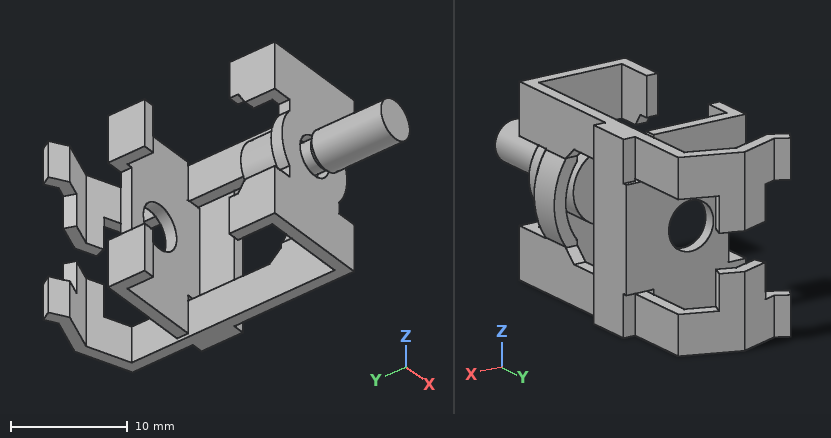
import cadquery as cq
import math

sheet = 1.2
half_height = 9.0

half_width = 5.5
flange_end_y = 4.95
peak_y = 26.1
roof_angle = math.radians(20)
valley_x = -4.1
tail_angle = math.radians(30)
tail_tip_x = -5.33

window_half = 5.2
notch_half = 4.05
window_start_y = 8.3
bridge_near_y = 4.0
bridge_far_y = 7.05
flange_step_y = 4.0
flange_taper_y = 3.25
bridge_center_x = -0.5
bridge_radius = half_width - bridge_center_x
neck_half_width = 3.45
lobe_radius = 4.5
screw_hole_radius = 2.0

jaw_half_gap = 1.83
jaw_right_x = 2.1
jaw_left_x = -2.9

bracket_left_x = -5.7
bracket_far_y = 18.0
hook_end_y = 14.0
strap_end_y = 13.04
strap_far_y = 17.55
strap_x = half_width + sheet
plate_right_x = 3.9
tongue_half = 5.0
plate_left_x = -3.9
plate_hole_radius = 2.3

head_radius = 3.5
head_end_y = 5.27
neck_radius = 1.5
shank_radius = 2.0
cone_start_y = -0.75
cone_end_y = cone_start_y - (shank_radius - neck_radius)
shank_end_y = -8.79


def block(x_range, y_range, z_range):
    """Axis-aligned box between the given limits."""
    sizes = [high - low for low, high in (x_range, y_range, z_range)]
    corner = (x_range[0], y_range[0], z_range[0])
    return cq.Workplane("XY").box(*sizes, centered=False).translate(corner)


def bent_strip(outer, z_range, side=1):
    """Sheet of constant thickness along a line of outer corners; side 1 is left of travel, -1 right."""
    headings = [math.atan2(b[1] - a[1], b[0] - a[0]) for a, b in zip(outer, outer[1:])]
    incoming = headings[:1] + headings
    outgoing = headings + headings[-1:]
    inner = []
    for (x, y), before, after in zip(outer, incoming, outgoing):
        turn = math.remainder(after - before, 2 * math.pi)
        normal = before + turn / 2 + side * math.pi / 2
        miter = sheet / math.cos(turn / 2)
        inner.append((x + miter * math.cos(normal), y + miter * math.sin(normal)))
    profile = cq.Workplane("XY").workplane(offset=z_range[0]).polyline(outer + inner[::-1]).close()
    return profile.extrude(z_range[1] - z_range[0])


def cylinder_along_y(radius, y_start, y_end, center_x=0):
    return cq.Workplane("XZ", origin=(center_x, y_start, 0)).circle(radius).extrude(y_start - y_end)


def side_cutter(upper_outline, x_range):
    """Prism along X over (Y, Z) points of the upper edge, mirrored to the lower half."""
    lower_outline = [(y, -z) for y, z in reversed(upper_outline)]
    profile = cq.Workplane("YZ", origin=(x_range[0], 0, 0)).polyline(upper_outline + lower_outline).close()
    return profile.extrude(x_range[1] - x_range[0])


def roof_point(x):
    """Outer roof corner at the given X."""
    return (x, peak_y - abs(x) * math.tan(roof_angle))


def make_clip():
    valley = roof_point(valley_x)
    tail_tip = (tail_tip_x, valley[1] + (valley_x - tail_tip_x) * math.tan(tail_angle))
    outer = [
        (-half_width, flange_end_y),
        (-half_width, 0),
        (half_width, 0),
        roof_point(half_width),
        roof_point(0),
        valley,
        tail_tip,
    ]
    clip = bent_strip(outer, (-half_height, half_height))

    window = [
        (bridge_far_y, notch_half),
        (window_start_y, window_half),
        (peak_y, window_half),
    ]
    clip = clip.cut(side_cutter(window, (-half_width - sheet, half_width)))

    flange_notch = [
        (0, notch_half),
        (flange_taper_y, notch_half),
        (flange_step_y, window_half),
        (flange_end_y, window_half),
    ]
    clip = clip.cut(side_cutter(flange_notch, (-half_width, -neck_half_width)))

    wall_notch = block((neck_half_width, half_width), (0, bridge_near_y), (-notch_half, notch_half))
    clip = clip.cut(wall_notch)
    clip = clip.union(cylinder_along_y(lobe_radius, 0, sheet))
    return clip.cut(cylinder_along_y(screw_hole_radius, 0, sheet))


def add_bridge(clip):
    """Bulge the bridge of the side wall outward around the screw head."""
    inner_cylinder = cylinder_along_y(bridge_radius, bridge_near_y, bridge_far_y, bridge_center_x)
    outer_cylinder = cylinder_along_y(bridge_radius + sheet, bridge_near_y, bridge_far_y, bridge_center_x)
    wall_inner_x = half_width - sheet
    outer_side = block(
        (wall_inner_x, strap_x),
        (bridge_near_y, bridge_far_y),
        (-notch_half, notch_half),
    )
    return clip.union(outer_cylinder.intersect(outer_side)).cut(inner_cylinder)


def add_jaws(clip):
    outer = [roof_point(jaw_right_x), roof_point(0), roof_point(jaw_left_x)]
    upper_jaw = bent_strip(outer, (jaw_half_gap, window_half))
    return clip.union(upper_jaw).union(upper_jaw.mirror("XY"))


def make_bracket():
    outer = [
        (bracket_left_x, hook_end_y),
        (bracket_left_x, bracket_far_y),
        (strap_x, bracket_far_y),
        (strap_x, strap_end_y),
    ]
    bracket = bent_strip(outer, (-half_height, half_height), side=-1)
    hook_gap = block((bracket_left_x, plate_left_x), (hook_end_y, bracket_far_y), (-notch_half, notch_half))
    bracket = bracket.cut(hook_gap)
    for z_range in ((tongue_half, half_height), (-half_height, -tongue_half)):
        bracket = bracket.cut(block((plate_right_x, half_width), (strap_end_y, bracket_far_y), z_range))
        bracket = bracket.cut(block((half_width, strap_x), (strap_far_y, bracket_far_y), z_range))
    return bracket.cut(cylinder_along_y(plate_hole_radius, hook_end_y, bracket_far_y))


def make_screw():
    half_section = [
        (0, head_end_y),
        (head_radius, head_end_y),
        (head_radius, sheet),
        (neck_radius, sheet),
        (neck_radius, cone_start_y),
        (shank_radius, cone_end_y),
        (shank_radius, shank_end_y),
        (0, shank_end_y),
    ]
    return cq.Workplane("XY").polyline(half_section).close().revolve(360, (0, 0, 0), (0, 1, 0))


clip = add_jaws(add_bridge(make_clip()))
result = clip.union(make_bracket()).union(make_screw())